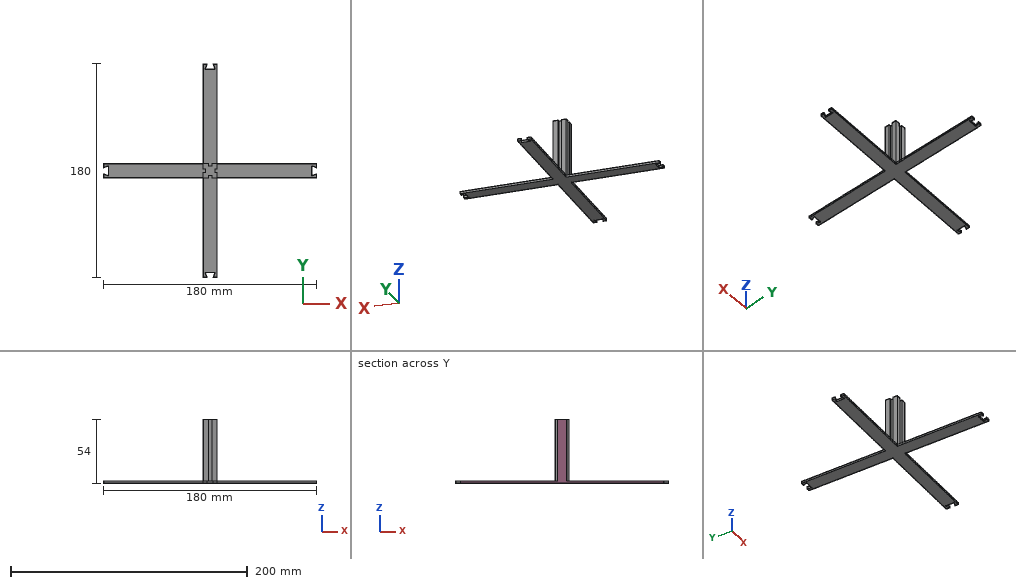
import cadquery as cq

span = 180.0
bar_width = 12.0
plate_thickness = 2.0

notch_mouth_width = 5.2
notch_root_width = 8.2
notch_depth = 4.1

total_height = 54.0
post_width = bar_width
groove_width = 3.0
groove_depth = 2.0

side_angles = (0, 90, 180, 270)


def around_z(shape):
    """Return copies of a shape on the +X side, turned to all four sides."""
    return [shape.rotate((0, 0, 0), (0, 0, 1), angle) for angle in side_angles]


def make_dovetail_cutter():
    """Dovetail notch at the +X arm end, wider at its root than at its mouth."""
    mouth_x = span / 2
    root_x = mouth_x - notch_depth
    return (
        cq.Workplane("XY")
        .moveTo(mouth_x, -notch_mouth_width / 2)
        .lineTo(mouth_x, notch_mouth_width / 2)
        .lineTo(root_x, notch_root_width / 2)
        .lineTo(root_x, -notch_root_width / 2)
        .close()
        .extrude(plate_thickness)
    )


def make_base():
    """Two crossed flat bars with a dovetail notch in every end."""
    bottom_centred = (True, True, False)
    bar_x = cq.Workplane("XY").box(span, bar_width, plate_thickness, centered=bottom_centred)
    bar_y = cq.Workplane("XY").box(bar_width, span, plate_thickness, centered=bottom_centred)
    base = bar_x.union(bar_y)
    for cutter in around_z(make_dovetail_cutter()):
        base = base.cut(cutter)
    return base


def make_post():
    """Square post on the base with a straight groove along each side."""
    post_length = total_height - plate_thickness
    post_base = cq.Workplane("XY").workplane(offset=plate_thickness)
    post = post_base.rect(post_width, post_width).extrude(post_length)
    groove_centre = (post_width - groove_depth) / 2
    groove = post_base.center(groove_centre, 0).rect(groove_depth, groove_width).extrude(post_length)
    for cutter in around_z(groove):
        post = post.cut(cutter)
    return post


result = make_base().union(make_post())